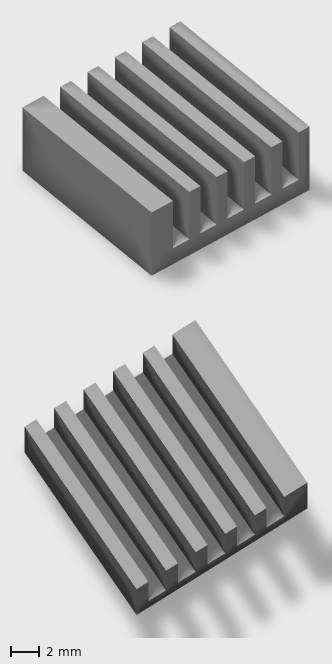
import cadquery as cq

length = 14.45
width = 14.45
height = 6.0

base_thickness = 1.5
fin_thickness = 1.0
fin_pitch = 2.5
slot_count = 5

slot_width = fin_pitch - fin_thickness
slot_depth = height - base_thickness


def slot_cutter(index):
    """Full-length slot, counted from the +Y side; the -Y fin keeps the remaining width."""
    y_max = width / 2 - fin_thickness - index * fin_pitch
    return (
        cq.Workplane("XY")
        .box(length, slot_width, slot_depth, centered=(True, False, False))
        .translate((0, y_max - slot_width, base_thickness))
    )


result = cq.Workplane("XY").box(length, width, height, centered=(True, True, False))
for slot_index in range(slot_count):
    result = result.cut(slot_cutter(slot_index))